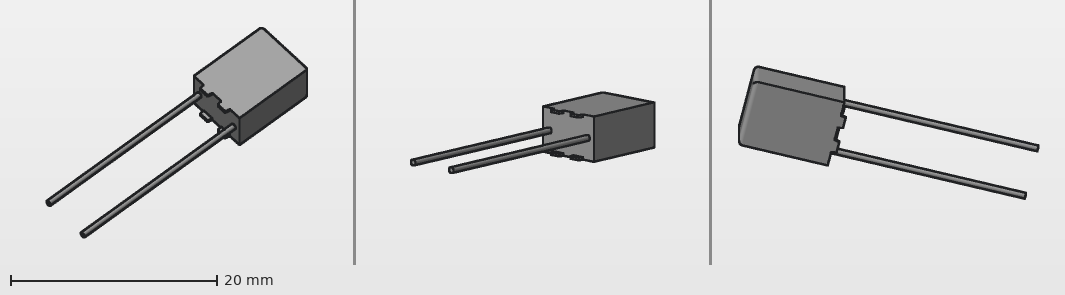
import cadquery as cq

TOTAL_LENGTH = 28.5
HOUSING_WIDTH = 6.7
HOUSING_THICKNESS = 4.5
HOUSING_LENGTH = 8.98
REAR_FILLET = 0.45

TAB_LENGTH = 0.5
TAB_BASE_WIDTH = 1.28
TAB_TIP_WIDTH = 1.08
TAB_THICKNESS = 0.25
TAB_PITCH = 2.56

LEAD_DIAMETER = 0.6
LEAD_PITCH = 5.02
LEAD_LENGTH = TOTAL_LENGTH - HOUSING_LENGTH

SIDES = (-1, 1)


def make_tab(center_x, bottom_z):
    """Plate standing on the exit face and tapering in width towards -Y."""
    half_base = TAB_BASE_WIDTH / 2
    half_tip = TAB_TIP_WIDTH / 2
    return (
        cq.Workplane("XY", origin=(center_x, 0, bottom_z))
        .moveTo(-half_base, 0)
        .lineTo(-half_tip, -TAB_LENGTH)
        .lineTo(half_tip, -TAB_LENGTH)
        .lineTo(half_base, 0)
        .close()
        .extrude(TAB_THICKNESS)
    )


def make_housing():
    """Box with a rounded rear rim and two tabs along each broad face."""
    housing = (
        cq.Workplane("XY")
        .box(HOUSING_WIDTH, HOUSING_LENGTH, HOUSING_THICKNESS, centered=(True, False, True))
        .faces(">Y")
        .edges()
        .fillet(REAR_FILLET)
    )
    lower_tab_z = -HOUSING_THICKNESS / 2
    upper_tab_z = HOUSING_THICKNESS / 2 - TAB_THICKNESS
    for side in SIDES:
        for tab_z in (lower_tab_z, upper_tab_z):
            housing = housing.union(make_tab(side * TAB_PITCH / 2, tab_z))
    return housing


def make_lead(center_x):
    """Straight round wire running from the exit face towards -Y."""
    return (
        cq.Workplane("XZ", origin=(center_x, 0, 0))
        .circle(LEAD_DIAMETER / 2)
        .extrude(LEAD_LENGTH)
    )


housing = make_housing()
leads = [make_lead(side * LEAD_PITCH / 2) for side in SIDES]

result = cq.Compound.makeCompound([housing.val(), *[lead.val() for lead in leads]])